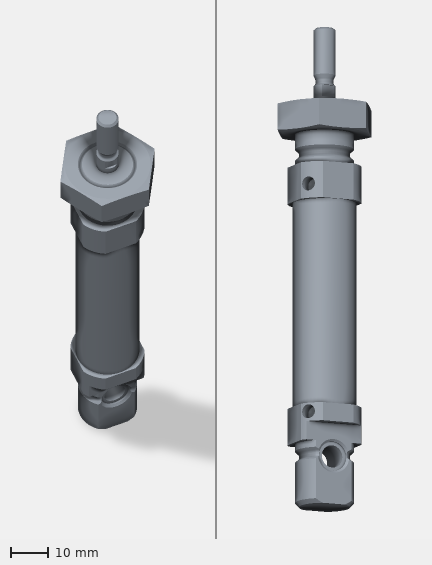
import cadquery as cq
import math

total_length = 131.0
rear_cap_bottom = 17.0
cap_height = 10.0
rear_cap_top = rear_cap_bottom + cap_height
front_cap_bottom = 83.0
front_cap_top = front_cap_bottom + cap_height
nut_height = 8.0
front_thread_end = 109.9
nut_bottom = front_thread_end - nut_height

tube_diameter = 17.3
cap_diameter = 20.0
cap_across_flats = 18.0
thread_diameter = 16.0
relief_diameter = 13.8
relief_corner_radius = 0.9
thread_tip_diameter = 13.8
thread_chamfer = (thread_diameter - thread_tip_diameter) / 2
rear_relief_bottom = 12.0
rear_relief_top = 15.2
front_relief_bottom = 94.7
front_relief_top = 97.9
relief_side_angle = 50.0

eye_width = 12.0
eye_flat_top = 22.0
eye_hole_diameter = 6.0
eye_bore_diameter = 8.0
eye_bore_depth = 1.0
eye_sink_diameter = 9.2
eye_hole_height = 13.1

port_diameter = 3.8
port_depth = 3.9
port_direction = 130.0
rear_port_height = 24.6
front_port_height = 87.0

nut_across_flats = 24.0
nut_chamfer_diameter = 23.2
nut_chamfer_height = 0.4
nut_bore_diameter = 14.4
nut_sink_diameter = 16.0

rod_diameter = 6.0
rod_neck_diameter = 4.8
rod_tip_diameter = 4.8
rod_thread_bottom = 118.2
rod_thread_angle = 25.0
rod_shoulder_height = 115.1
rod_shoulder_angle = 45.0
rod_across_flats = 4.8
rod_flat_bottom = 112.0
rod_seat = front_cap_top


def cylinder(diameter, bottom, top):
    return cq.Workplane("XY").workplane(offset=bottom).circle(diameter / 2).extrude(top - bottom)


def cap(bottom):
    """Round cap with four flats."""
    block = cq.Workplane("XY").box(cap_across_flats, cap_across_flats, cap_height, centered=(True, True, False))
    return cylinder(cap_diameter, bottom, bottom + cap_height).intersect(block.translate((0, 0, bottom)))


def relief_side(shaft_diameter, floor_diameter, edge, angle, direction):
    """Three points down one side of a relief: rim, end of the slope, end of the rounded corner.

    The slope leans at the given angle to the axis; direction is +1 when the floor lies above the rim.
    """
    lean = math.radians(angle)
    rim_radius = shaft_diameter / 2
    corner_top = floor_diameter / 2 + relief_corner_radius * (1 - math.cos(lean))
    slope_end = edge + direction * (rim_radius - corner_top) / math.tan(lean)
    corner_end = slope_end + direction * relief_corner_radius * math.sin(lean)
    return (rim_radius, edge), (corner_top, slope_end), (floor_diameter / 2, corner_end)


def relief(shaft_diameter, floor_diameter, bottom, top, bottom_angle, top_angle):
    """Ring that cuts a thread relief with sloped sides and rounded corners between two levels."""
    low_rim, low_slope, low_floor = relief_side(shaft_diameter, floor_diameter, bottom, bottom_angle, 1)
    high_rim, high_slope, high_floor = relief_side(shaft_diameter, floor_diameter, top, top_angle, -1)
    return (
        cq.Workplane("XZ")
        .moveTo(*low_rim)
        .lineTo(*low_slope)
        .radiusArc(low_floor, relief_corner_radius)
        .lineTo(*high_floor)
        .radiusArc(high_slope, relief_corner_radius)
        .lineTo(*high_rim)
        .close()
        .revolve(360, (0, 0, 0), (0, 1, 0))
    )


def port(height):
    drill = cq.Workplane("YZ").workplane(offset=cap_diameter / 2 - port_depth)
    drill = drill.circle(port_diameter / 2).extrude(2 * port_depth)
    return drill.rotate((0, 0, 0), (0, 0, 1), port_direction).translate((0, 0, height))


def cut_eye(body):
    slab_width = cap_diameter
    for side in (-1, 1):
        slab = cq.Workplane("XY").box(slab_width, 2 * cap_diameter, eye_flat_top, centered=(True, True, False))
        body = body.cut(slab.translate((side * (eye_width + slab_width) / 2, 0, 0)))
    outer_face = eye_width / 2
    sink_bottom = outer_face - (eye_sink_diameter - eye_bore_diameter) / 2
    bore_bottom = outer_face - eye_bore_depth
    half_profile = [
        (outer_face, eye_sink_diameter / 2),
        (sink_bottom, eye_bore_diameter / 2),
        (bore_bottom, eye_bore_diameter / 2),
        (bore_bottom, eye_hole_diameter / 2),
    ]
    mirrored_profile = [(-x, radius) for x, radius in reversed(half_profile)]
    hole = (
        cq.Workplane("XY")
        .polyline([(outer_face, 0), *half_profile, *mirrored_profile, (-outer_face, 0)])
        .close()
        .revolve(360, (0, 0, 0), (1, 0, 0))
    )
    return body.cut(hole.translate((0, 0, eye_hole_height)))


def front_thread():
    """Front threaded end with its chamfered tip."""
    return cylinder(thread_diameter, front_cap_top, front_thread_end).faces(">Z").chamfer(thread_chamfer)


def make_housing():
    rear_thread = cylinder(thread_diameter, 0, rear_cap_bottom).faces("<Z").chamfer(thread_chamfer)
    body = cylinder(tube_diameter, rear_cap_top, front_cap_bottom)
    body = body.union(cap(rear_cap_bottom)).union(cap(front_cap_bottom))
    body = body.union(rear_thread).union(front_thread())
    for bottom, top in ((rear_relief_bottom, rear_relief_top), (front_relief_bottom, front_relief_top)):
        body = body.cut(
            relief(thread_diameter, relief_diameter, bottom, top, relief_side_angle, relief_side_angle)
        )
    body = cut_eye(body)
    for height in (rear_port_height, front_port_height):
        body = body.cut(port(height))
    return body.cut(cylinder(rod_diameter, rod_seat, front_thread_end))


def make_nut():
    across_corners = nut_across_flats / math.cos(math.pi / 6)
    hexagon = cq.Workplane("XY").polygon(6, across_corners).extrude(nut_height)
    hexagon = hexagon.rotate((0, 0, 0), (0, 0, 1), 30)
    corner = across_corners / 2
    rim = nut_chamfer_diameter / 2
    envelope = (
        cq.Workplane("XZ")
        .polyline([
            (0, 0),
            (rim, 0),
            (corner, nut_chamfer_height),
            (corner, nut_height - nut_chamfer_height),
            (rim, nut_height),
            (0, nut_height),
        ])
        .close()
        .revolve(360, (0, 0, 0), (0, 1, 0))
    )
    body = hexagon.intersect(envelope).translate((0, 0, nut_bottom))
    sink_depth = (nut_sink_diameter - nut_bore_diameter) / 2
    sink = (
        cq.Workplane("XY")
        .workplane(offset=front_thread_end)
        .circle(nut_sink_diameter / 2)
        .workplane(offset=-sink_depth)
        .circle(nut_bore_diameter / 2)
        .loft(ruled=True)
    )
    return body.cut(sink).cut(front_thread())


def make_rod():
    tip_chamfer = (rod_diameter - rod_tip_diameter) / 2
    body = cylinder(rod_diameter, rod_seat, total_length).faces(">Z").chamfer(tip_chamfer)
    flat_length = rod_shoulder_height - rod_flat_bottom
    for side in (-1, 1):
        slab = cq.Workplane("XY").box(rod_diameter, rod_diameter, flat_length, centered=(True, True, False))
        body = body.cut(slab.translate((side * (rod_across_flats + rod_diameter) / 2, 0, rod_flat_bottom)))
    neck = relief(
        rod_diameter,
        rod_neck_diameter,
        rod_shoulder_height,
        rod_thread_bottom,
        rod_shoulder_angle,
        rod_thread_angle,
    )
    return body.cut(neck)


housing = make_housing()
nut = make_nut()
rod = make_rod()
result = cq.Compound.makeCompound([housing.val(), nut.val(), rod.val()])